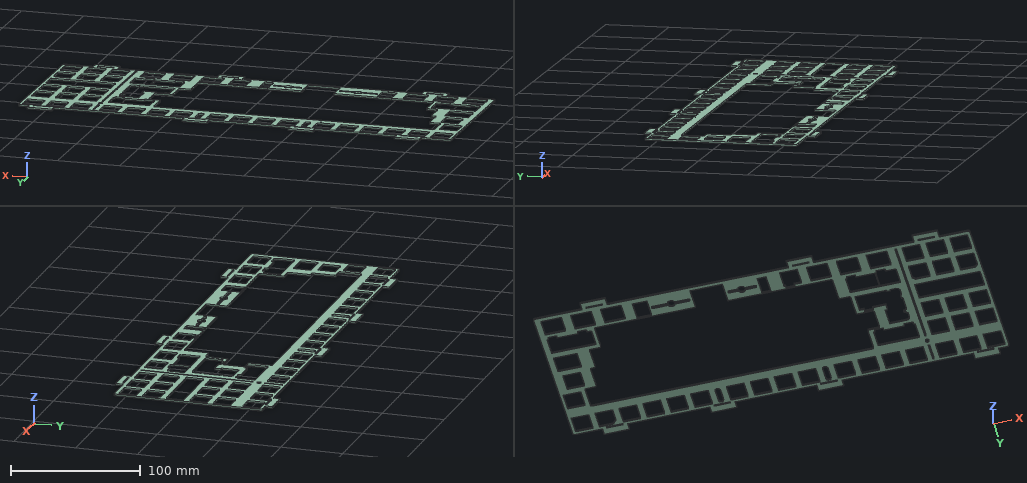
import cadquery as cq
LENGTH = 348.0
BODY_DEPTH = 120.0
OVERALL_DEPTH = 132.0
THICKNESS = 1.5
CORNER_RADIUS = 1.7

KEY_SIZE = 14.0
KEY_RADIUS = 0.5
FIRST_X = 9.7
COLUMN_SPAN = 17.25
PITCH = (LENGTH - 2 * FIRST_X) / COLUMN_SPAN
BOTTOM_ROW_Y = 10.5

SPACE_ROW, SHIFT_ROW, HOME_ROW, UPPER_ROW, NUMBER_ROW = range(5)
FUNCTION_ROW = 5.25
PAD_COLUMNS = [COLUMN_SPAN - 2, COLUMN_SPAN - 1, COLUMN_SPAN]

STABILIZER_WIDTH = 7.0
STABILIZER_LONG_REACH = 9.0
STABILIZER_SHORT_REACH = 6.0
SHORT_SPREAD = 12.0
SPACE_STABILIZERS = [(6.375, 49.8), (7.0, 57.0)]

TAB_WIDTH = 20.2
BOTTOM_TAB_REACH = 6.3
TOP_TAB_REACH = OVERALL_DEPTH - BODY_DEPTH - BOTTOM_TAB_REACH
TOP_TAB_CENTERS = [33.5, 119.0, 204.2, 329.0]
BOTTOM_TAB_CENTERS = [49.0, 213.5, 314.0]
TAB_SLOT_LENGTH = 13.2
TAB_SLOT_WIDTH = 1.0
TOP_TAB_SLOT_Y = BODY_DEPTH - 0.7
BOTTOM_TAB_SLOT_Y = -1.0

OPENING_TOP = 95.7
OPENING_BOTTOM = 20.2
OPENING_RADIUS = 1.0
LEFT_STEP_Y = [40.5, 58.8, 77.5]
RIGHT_STEP_Y = [40.5, 58.8, 76.5]
LEFT_STEP_X = [43.5, 34.0, 30.0, 20.5]
RIGHT_STEP_X = [233.0, 242.0, 256.0, 246.5]
NOTCH_LEFT = 124.2
NOTCH_RIGHT = 150.0
NOTCH_BOTTOM = 3.0

FUNCTION_SLIT_COLUMNS = [5.75, 10.25]
FUNCTION_SLIT_WIDTH = 4.2

SCREW_DIAMETER = 6.0
SCREW_Y = 12.0
SCREW_SLIT_WIDTH = 2.0
SCREW_SLITS = [(91.5, 121.8, 107.0), (152.5, 175.0, 163.2)]

PAD_SLIT_X = 288.0
PAD_SLIT_WIDTH = 1.0
PAD_SLIT_RANGES = [(3.0, 93.5), (103.0, 117.5)]
PAD_HOLE_DIAMETER = 3.0
PAD_HOLE_Y = 98.5

ENTER_NECK_LEFT = 266.5
ENTER_RADIUS = 2.8
ENTER_SIDE_NUBS = [(50.5, 3.0, 1.0), (65.8, 3.5, 1.0), (65.8, 1.5, 2.8)]
ENTER_FLOOR_NUB_X = 272.0
ENTER_FLOOR_NUB_WIDTH = 3.0
ENTER_FLOOR_NUB_REACH = 1.0


def column_x(column):
    return FIRST_X + column * PITCH


def row_y(row):
    return BOTTOM_ROW_Y + row * PITCH


def block(x_min, x_max, y_min, y_max):
    """Full-thickness block between the given limits."""
    size_x = x_max - x_min
    size_y = y_max - y_min
    return cq.Workplane("XY").box(size_x, size_y, THICKNESS, centered=False).translate((x_min, y_min, 0))


def disc(x, y, diameter):
    return cq.Workplane("XY").center(x, y).circle(diameter / 2).extrude(THICKNESS)


def slit(x, y, length, width, angle=0):
    """Round-ended cutter centred on (x, y)."""
    return cq.Workplane("XY").center(x, y).slot2D(length, width, angle).extrude(THICKNESS)


def key_block(row, first, last):
    """Switch opening swept from the first key column to the last."""
    half = KEY_SIZE / 2
    y = row_y(row)
    return block(column_x(first) - half, column_x(last) + half, y - half, y + half)


def stabilizer(row, column, offset, direction=-1):
    """Stabilizer opening beside a key centre, with its long end down (-1) or up (1)."""
    x = column_x(column) + offset
    y_ends = sorted((
        row_y(row) + direction * STABILIZER_LONG_REACH,
        row_y(row) - direction * STABILIZER_SHORT_REACH,
    ))
    return block(x - STABILIZER_WIDTH / 2, x + STABILIZER_WIDTH / 2, *y_ends)


def rounded(cutter, radius=KEY_RADIUS, edges="|Z"):
    return cutter.edges(edges).fillet(radius)


def plate_body():
    """Plain plate with its mounting tabs along both long sides."""
    body = rounded(block(0, LENGTH, 0, BODY_DEPTH), CORNER_RADIUS)
    middle_y = BODY_DEPTH / 2
    half = TAB_WIDTH / 2
    tabs = [block(x - half, x + half, middle_y, BODY_DEPTH + TOP_TAB_REACH) for x in TOP_TAB_CENTERS]
    tabs += [block(x - half, x + half, -BOTTOM_TAB_REACH, middle_y) for x in BOTTOM_TAB_CENTERS]
    for tab in tabs:
        body = body.union(tab)
    return body


def step_points(step_x, step_y):
    """Stepped side of the central opening, from its floor to its ceiling."""
    levels = [OPENING_BOTTOM] + step_y + [OPENING_TOP]
    points = []
    for x, low, high in zip(step_x, levels, levels[1:]):
        points += [(x, low), (x, high)]
    return points


def central_opening():
    """Large stepped window with a notch in its floor."""
    right_side = step_points(RIGHT_STEP_X, RIGHT_STEP_Y)
    left_side = step_points(LEFT_STEP_X, LEFT_STEP_Y)
    outline = right_side + left_side[::-1]
    window = cq.Workplane("XY").polyline(outline).close().extrude(THICKNESS)
    notch = block(NOTCH_LEFT, NOTCH_RIGHT, NOTCH_BOTTOM, OPENING_TOP)
    return [rounded(window, OPENING_RADIUS).union(notch)]


def single_keys():
    columns_in_row = {
        FUNCTION_ROW: [0, 2, 3, 4, 5, 6.5, 7.5, 8.5, 9.5, 11, 12, 13, 14] + PAD_COLUMNS,
        NUMBER_ROW: [0] + PAD_COLUMNS,
        UPPER_ROW: [0.25] + PAD_COLUMNS,
        SHIFT_ROW: [PAD_COLUMNS[1]],
        SPACE_ROW: PAD_COLUMNS,
    }
    return [rounded(key_block(row, c, c)) for row, columns in columns_in_row.items() for c in columns]


def beveled_keys():
    """Switch openings with one corner cut off: row, column, corner, leg of the bevel."""
    keys = [
        (FUNCTION_ROW, 1, ">X and >Y", 3.0),
        (SHIFT_ROW, PAD_COLUMNS[0], "<X and >Y", 2.0),
        (SHIFT_ROW, PAD_COLUMNS[-1], ">X and >Y", 2.0),
    ]
    cutters = []
    for row, column, corner, leg in keys:
        key = key_block(row, column, column).edges("|Z and " + corner).chamfer(leg)
        cutters.append(rounded(key))
    return cutters


def wide_keys():
    """Openings that span two key positions: row, first and last column."""
    spans = [
        (HOME_ROW, 0.125, 0.375),
        (HOME_ROW, PAD_COLUMNS[0], PAD_COLUMNS[-1]),
        (SPACE_ROW, 0.125, 0.25),
        (SPACE_ROW, 1.375, 1.5),
        (SPACE_ROW, 2.625, 2.75),
        (SPACE_ROW, 11.25, 11.375),
        (SPACE_ROW, 12.5, 12.625),
        (SPACE_ROW, 13.75, 13.875),
    ]
    return [rounded(key_block(*span)) for span in spans]


def stabilized_keys():
    """Left shift, backspace and the two parts of right shift."""
    left, right = -SHORT_SPREAD, SHORT_SPREAD
    keys = [
        (SHIFT_ROW, 0.125, 1.25, 0.625, [left, right]),
        (NUMBER_ROW, 13, 14, 13.5, [left, right]),
        (SHIFT_ROW, 12.625, 13.125, 13.125, [left]),
        (SHIFT_ROW, 13.875, 14, 13.125, [right]),
    ]
    cutters = []
    for row, first, last, center, offsets in keys:
        cutter = key_block(row, first, last)
        for offset in offsets:
            cutter = cutter.union(stabilizer(row, center, offset))
        cutters.append(rounded(cutter))
    return cutters


def enter_key():
    """L-shaped enter opening with small nubs on its right and lower sides."""
    right_column = 13.875
    half = KEY_SIZE / 2
    right = column_x(right_column) + half
    bottom = row_y(HOME_ROW) - half
    cutter = key_block(UPPER_ROW, 13.75, right_column)
    cutter = cutter.union(key_block(HOME_ROW, 12.75, right_column))
    cutter = cutter.union(block(ENTER_NECK_LEFT, right, row_y(HOME_ROW), row_y(UPPER_ROW)))
    cutter = cutter.union(stabilizer(HOME_ROW, 13.375, -SHORT_SPREAD, 1))
    cutter = rounded(cutter, ENTER_RADIUS, "|Z and >X")

    for y, width, reach in ENTER_SIDE_NUBS:
        cutter = cutter.cut(block(right - reach, right, y - width / 2, y + width / 2))
    nub_left = ENTER_FLOOR_NUB_X - ENTER_FLOOR_NUB_WIDTH / 2
    nub_right = ENTER_FLOOR_NUB_X + ENTER_FLOOR_NUB_WIDTH / 2
    return [cutter.cut(block(nub_left, nub_right, bottom, bottom + ENTER_FLOOR_NUB_REACH))]


def space_bar():
    """Stabilizers of the two space bar lengths and the key that meets the right-hand one."""
    cutters = [key_block(SPACE_ROW, 10.125, 10.125)]
    for column, spread in SPACE_STABILIZERS:
        cutters.append(stabilizer(SPACE_ROW, column, -spread, 1))
        cutters.append(stabilizer(SPACE_ROW, column, spread, 1))
    return cutters


def slits_and_holes():
    cutters = []
    for column in FUNCTION_SLIT_COLUMNS:
        cutters.append(slit(column_x(column), row_y(FUNCTION_ROW), KEY_SIZE, FUNCTION_SLIT_WIDTH, 90))
    for x_start, x_end, hole_x in SCREW_SLITS:
        cutters.append(slit((x_start + x_end) / 2, SCREW_Y, x_end - x_start, SCREW_SLIT_WIDTH))
        cutters.append(disc(hole_x, SCREW_Y, SCREW_DIAMETER))
    for y_start, y_end in PAD_SLIT_RANGES:
        cutters.append(slit(PAD_SLIT_X, (y_start + y_end) / 2, y_end - y_start, PAD_SLIT_WIDTH, 90))
    cutters.append(disc(PAD_SLIT_X, PAD_HOLE_Y, PAD_HOLE_DIAMETER))
    for x in TOP_TAB_CENTERS:
        cutters.append(slit(x, TOP_TAB_SLOT_Y, TAB_SLOT_LENGTH, TAB_SLOT_WIDTH))
    for x in BOTTOM_TAB_CENTERS:
        cutters.append(slit(x, BOTTOM_TAB_SLOT_Y, TAB_SLOT_LENGTH, TAB_SLOT_WIDTH))
    return cutters


cutters = central_opening() + single_keys() + beveled_keys() + wide_keys()
cutters += stabilized_keys() + enter_key() + space_bar() + slits_and_holes()

plate = plate_body().val().cut(*[cutter.val() for cutter in cutters])
result = cq.Workplane("XY").newObject(plate.Solids())